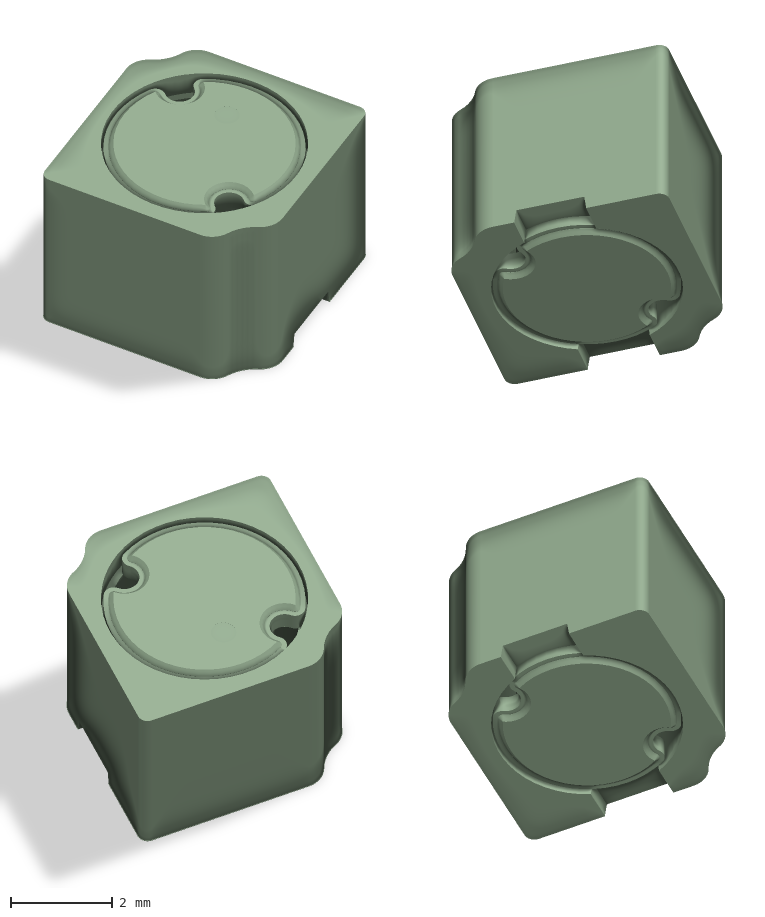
import cadquery as cq
import math


overall_width = 4.82
overall_height = 3.81
foil_thickness = 0.01
shell_width = overall_width - 2 * foil_thickness
shell_bottom = foil_thickness

corner_radius = 0.202
scoop_radius = 0.9
scoop_centre_distance = 3.5
scoop_blend_radius = 0.5

bore_radius = 1.9
rim_seat_radius = 2.05
slot_height = 0.3
slot_width_bottom = 1.495
slot_width_top = 1.407

plug_width = 0.8
plug_depth = 0.8

top_rim_radius = 2.0
bottom_rim_radius = 1.865
rim_corner_radius = 0.202
step_width = 0.1
plateau_height = 0.1
plateau_bevel = 0.095
flange_height = 0.5
rim_thickness = flange_height - plateau_height
notch_radius = 0.3
notch_distance = 1.7
core_radius = 0.9
mark_radius = 0.25
mark_depth = 0.0025
mark_y = 0.94

winding_radius = notch_distance - notch_radius
winding_bottom = shell_bottom + flange_height
winding_top = overall_height - flange_height

diagonal_angles = (135, -45)


def on_diagonal(distance, angle):
    return (
        distance * math.cos(math.radians(angle)),
        distance * math.sin(math.radians(angle)),
    )


def cylinder(radius, bottom, top):
    return cq.Workplane("XY").workplane(offset=bottom).circle(radius).extrude(top - bottom)


def footprint_block(bottom, top, growth=0.0):
    """Square block with two scooped corners, its outline grown outward by `growth`."""
    width = shell_width + 2 * growth
    height = top - bottom
    plane = cq.Workplane("XY").workplane(offset=bottom)
    block = plane.rect(width, width).extrude(height)
    block = block.edges("|Z").edges(">(1, 1, 0) or <(1, 1, 0)").fillet(corner_radius + growth)
    scoops = plane.pushPoints([on_diagonal(scoop_centre_distance, angle) for angle in diagonal_angles])
    block = block.cut(scoops.circle(scoop_radius - growth).extrude(height))
    scoop_ends = block.edges("|Z").edges(">(1, -1, 0) or <(1, -1, 0)")
    return scoop_ends.fillet(scoop_blend_radius + growth)


def plug_space(angle):
    """Box reaching from the part's axis outward past one scooped corner."""
    box = cq.Workplane("XY").box(overall_width, plug_width, plug_depth, centered=(False, True, False))
    box = box.translate((0, 0, overall_height - plug_depth))
    return box.rotate((0, 0, 0), (0, 0, 1), angle)


def make_sleeve():
    """Scooped block with its stepped bore, still holding the material of the plugs."""
    sleeve = footprint_block(shell_bottom, overall_height)
    sleeve = sleeve.cut(cylinder(bore_radius, shell_bottom, overall_height))
    rim_seat_level = overall_height - flange_height
    return sleeve.cut(cylinder(rim_seat_radius, rim_seat_level, overall_height))


def make_shell():
    shell = make_sleeve()
    for angle in diagonal_angles:
        shell = shell.cut(plug_space(angle))
    slot_top = shell_bottom + slot_height
    slot = (
        cq.Workplane("YZ")
        .polyline([
            (-slot_width_bottom / 2, shell_bottom),
            (slot_width_bottom / 2, shell_bottom),
            (slot_width_top / 2, slot_top),
            (-slot_width_top / 2, slot_top),
        ])
        .close()
        .extrude(overall_width / 2, both=True)
    )
    return shell.cut(slot)


def make_plug(angle):
    return make_sleeve().intersect(plug_space(angle))


def notched_disc(rim_radius, inset, thickness):
    """Disc on z = 0 with rounded open notches at +X and -X, its outline moved inward by `inset`."""
    disc = cylinder(rim_radius - inset, 0, thickness)
    notch = notch_radius + inset
    for side in (1, -1):
        notch_end = cylinder(notch, 0, thickness).translate((side * notch_distance, 0, 0))
        notch_mouth = cq.Workplane("XY").box(rim_radius, 2 * notch, thickness, centered=(True, True, False))
        notch_mouth = notch_mouth.translate((side * (notch_distance + rim_radius / 2), 0, 0))
        disc = disc.cut(notch_end).cut(notch_mouth)
    mouth_edges = disc.edges("|Z").edges(">X or <X")
    return mouth_edges.fillet(rim_corner_radius - inset)


def make_flange(rim_radius):
    """Flange standing on z = 0, with a bevelled plateau raised on its outer face."""
    rim = notched_disc(rim_radius, 0, rim_thickness)
    plateau = notched_disc(rim_radius, step_width, plateau_height).faces(">Z").chamfer(plateau_bevel)
    flange = rim.union(plateau.translate((0, 0, rim_thickness)))
    return flange.rotate((0, 0, 0), (0, 0, 1), diagonal_angles[0])


def make_drum():
    drum = cylinder(core_radius, winding_bottom, winding_top)
    top_flange = make_flange(top_rim_radius)
    bottom_flange = make_flange(bottom_rim_radius).mirror("XY")
    drum = drum.union(top_flange.translate((0, 0, winding_top)))
    drum = drum.union(bottom_flange.translate((0, 0, winding_bottom)))
    mark = cylinder(mark_radius, overall_height - mark_depth, overall_height)
    return drum.cut(mark.translate((0, mark_y, 0)))


def make_winding():
    coil = cylinder(winding_radius, winding_bottom, winding_top)
    return coil.cut(cylinder(core_radius, winding_bottom, winding_top))


def make_terminal(side):
    """Foil under the shell on the +Y (side = 1) or -Y (side = -1) side of the slot."""
    foil = footprint_block(0, foil_thickness, growth=foil_thickness)
    foil = foil.cut(cylinder(bore_radius, 0, foil_thickness))
    half = cq.Workplane("XY").box(overall_width, overall_width, foil_thickness, centered=(True, True, False))
    return foil.intersect(half.translate((0, side * (overall_width + slot_width_bottom) / 2, 0)))


shell = make_shell()
plugs = [make_plug(angle) for angle in diagonal_angles]
drum = make_drum()
winding = make_winding()
terminals = [make_terminal(side) for side in (1, -1)]

result = cq.Compound.makeCompound([
    shell.val(),
    *[plug.val() for plug in plugs],
    drum.val(),
    winding.val(),
    *[terminal.val() for terminal in terminals],
])